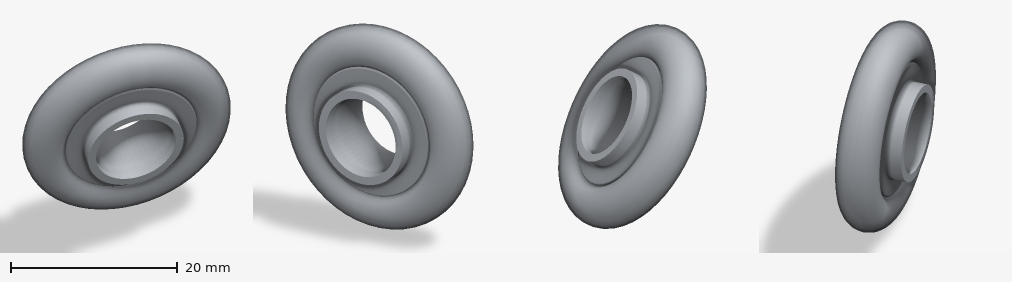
import cadquery as cq

ring_outer_diameter = 25.9
ring_thickness = 5.34
ring_center_x = 0.1
tube_radius = ring_thickness / 2
ring_center_radius = ring_outer_diameter / 2 - tube_radius

hub_length = 8.0
hub_diameter = 12.0
bore_diameter = 10.0
flange_diameter = 16.5
flange_width = 4.0
flange_edge_radius = 0.2
flange_root_radius = 0.23


def x_cylinder(diameter, length, center_x):
    """Solid cylinder along X, centred at center_x."""
    return (
        cq.Workplane("YZ", origin=(center_x - length / 2, 0, 0))
        .circle(diameter / 2)
        .extrude(length)
    )


def make_ring():
    torus = cq.Solid.makeTorus(
        ring_center_radius,
        tube_radius,
        cq.Vector(ring_center_x, 0, 0),
        cq.Vector(1, 0, 0),
    )
    return cq.Workplane(torus)


def make_hub(ring):
    sleeve = x_cylinder(hub_diameter, hub_length, 0)
    flange = x_cylinder(flange_diameter, flange_width, ring_center_x)
    flange = flange.edges().fillet(flange_edge_radius)
    body = sleeve.union(flange)

    root_reach = hub_diameter / 2 + flange_root_radius
    root_half_span = flange_width / 2 + flange_root_radius
    root_selector = cq.selectors.BoxSelector(
        (ring_center_x - root_half_span, -root_reach, -root_reach),
        (ring_center_x + root_half_span, root_reach, root_reach),
        boundingbox=True,
    )
    body = body.edges(root_selector).edges("%CIRCLE").fillet(flange_root_radius)

    body = body.cut(x_cylinder(bore_diameter, hub_length, 0))
    return body.cut(ring)


ring = make_ring()
hub = make_hub(ring)

result = cq.Compound.makeCompound([ring.val(), *hub.solids().vals()])